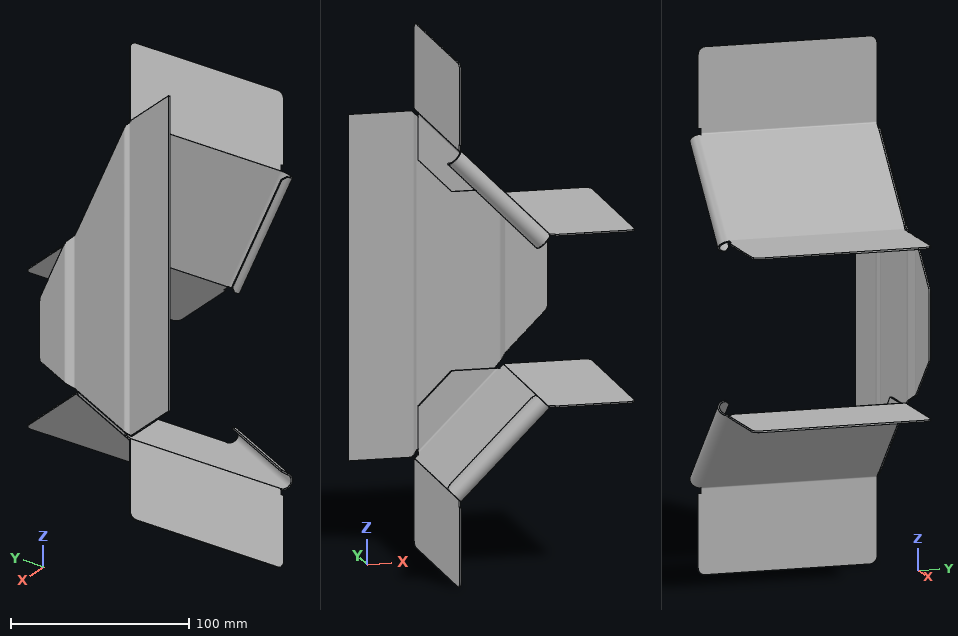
import cadquery as cq
import math


overall_width = 140.09
overall_depth = 115.75
half_height = 302.47 / 2

sheet = 1.0
bend_radius = 1.0
bend_middle = bend_radius + sheet / 2
shortest_straight = 0.01

base_half_height = 100.0
base_left = -38.0
base_right = 78.8
base_tip_radius = 5.0
base_edge_sum = 98.9
long_panel_rear = -5.75
middle_panel_rear = -3.75
outer_panel_rear = 0.0
inner_joggle_x = 0.8
outer_joggle_x = 52.2

web_top = 101.4
web_run = 51.4
level_top = web_top - web_run
flange_end_x = base_left + overall_width
flange_rear = -6.5
flange_front = -112.0
flange_bend_middle = 1.75
flange_corner_radius = 4.0
relief_gap = 3.1

web_front = -110.4
lip_radius = overall_depth + web_front
lip_return = 2.9
lip_corner_chamfer = 2.7

tab_rear = middle_panel_rear - sheet
tab_depth = 20.2
tab_left = 2.7
tab_bottom = 51.7


def bent_strip(plane, path, radii, width, both=False):
    """Sheet following a mid-thickness path, with an arc of the given middle radius at each corner."""
    points = [cq.Vector(*point) for point in path]
    headings = [(end - start).normalized() for start, end in zip(points, points[1:])]
    normals = [cq.Vector(-heading.y, heading.x) for heading in headings]

    straight_ends = [points[0]]
    for corner, radius, before, after in zip(points[1:], radii, headings, headings[1:]):
        setback = radius * math.tan(before.getAngle(after) / 2)
        straight_ends += [corner - before * setback, corner + after * setback]
    straight_ends.append(points[-1])
    straights = list(zip(straight_ends[::2], straight_ends[1::2], normals))

    def face_line(side):
        offset = side * sheet / 2
        return [(start + normal * offset, end + normal * offset) for start, end, normal in straights]

    left = face_line(1)
    right = [(end, start) for start, end in reversed(face_line(-1))]
    section = cq.Workplane(plane).moveTo(*left[0][0].toTuple()[:2])
    for face in (left, right):
        for number, (start, end) in enumerate(face):
            if number == 0 and face is right:
                section = section.lineTo(start.x, start.y)
            elif number > 0:
                section = section.tangentArcPoint((start.x, start.y), relative=False)
            if (end - start).Length > shortest_straight:
                section = section.lineTo(end.x, end.y)
    return section.close().extrude(width, both=both)


def joggle(centre_x, left_rear, right_rear):
    """Middle path corners of a 45 degree joggle between two panels."""
    half_step = (right_rear - left_rear) / 2
    return [
        (centre_x - half_step, left_rear - sheet / 2),
        (centre_x + half_step, right_rear - sheet / 2),
    ]


def make_base_plate():
    path = [
        (base_left, long_panel_rear - sheet / 2),
        *joggle(inner_joggle_x, long_panel_rear, middle_panel_rear),
        *joggle(outer_joggle_x, middle_panel_rear, outer_panel_rear),
        (base_right, outer_panel_rear - sheet / 2),
    ]
    strip = bent_strip(cq.Plane.XY(), path, [bend_middle] * 4, base_half_height, both=True)
    shoulder_x = base_edge_sum - base_half_height
    tip_half_height = base_edge_sum - base_right
    outline = (
        cq.Workplane("XZ")
        .polyline([
            (base_left, base_half_height),
            (shoulder_x, base_half_height),
            (base_right, tip_half_height),
            (base_right, -tip_half_height),
            (shoulder_x, -base_half_height),
            (base_left, -base_half_height),
        ])
        .close()
        .extrude(overall_depth)
        .edges("|Y and >X")
        .fillet(base_tip_radius)
    )
    return strip.intersect(outline)


def make_flanges():
    """Upright flange, web and level flange as one strip, cut back at the front beside the web."""
    mitre = sheet / 2 * math.tan(math.pi / 8)
    path = [
        (sheet / 2, half_height),
        (sheet / 2, web_top - mitre),
        (sheet + web_run - mitre, level_top - sheet / 2),
        (flange_end_x, level_top - sheet / 2),
    ]
    plane = cq.Plane(origin=(0, flange_rear, 0), xDir=(1, 0, 0), normal=(0, -1, 0))
    strip = bent_strip(plane, path, [flange_bend_middle] * 2, flange_rear - flange_front)
    strip = strip.edges("(|X and >Z) or (|Z and >X)").fillet(flange_corner_radius)

    relief_width = sheet + web_run + relief_gap
    relief_height = web_run + sheet + relief_gap
    relief = cq.Workplane("XY").box(
        relief_width, web_front - flange_front, relief_height, centered=False
    ).translate((0, flange_front, level_top - sheet))
    return strip.cut(relief)


def make_wall():
    """Tab, web and rolled lip as one strip that runs along the slope of the web."""
    web_length = web_run * math.sqrt(2)
    roll_middle = lip_radius - sheet / 2
    lip_far = 2 * lip_radius - sheet / 2
    lip_front = sheet / 2 - overall_depth
    path = [
        (tab_depth, tab_rear - sheet / 2),
        (sheet / 2, tab_rear - sheet / 2),
        (sheet / 2, lip_front),
        (lip_far, lip_front),
        (lip_far, web_front + lip_return),
    ]
    plane = cq.Plane(origin=(sheet, 0, web_top), xDir=(-1, 0, -1), normal=(1, 0, -1))
    strip = bent_strip(plane, path, [bend_middle, roll_middle, roll_middle], web_length)

    for along_web in (0, web_length):
        corner = plane.toWorldCoords((lip_far, web_front + lip_return, along_web))
        nearest = cq.selectors.NearestToPointSelector(corner.toTuple())
        strip = strip.edges(cq.selectors.ParallelDirSelector(plane.xDir)).edges(nearest)
        strip = strip.chamfer(lip_corner_chamfer)

    tab_zone = tab_rear - flange_rear
    beside_tab = cq.Workplane("XY").box(
        tab_left + base_half_height, tab_zone, 2 * base_half_height, centered=False
    ).translate((-base_half_height, flange_rear, 0))
    below_tab = cq.Workplane("XY").box(
        base_half_height, tab_zone, tab_bottom, centered=False
    ).translate((0, flange_rear, 0))
    return strip.cut(beside_tab).cut(below_tab)


def make_bracket():
    return make_flanges().union(make_wall())


base_plate = make_base_plate()
upper_bracket = make_bracket()
brackets = [upper_bracket, upper_bracket.mirror("XY")]

result = cq.Compound.makeCompound([body.solids().val() for body in [base_plate, *brackets]])